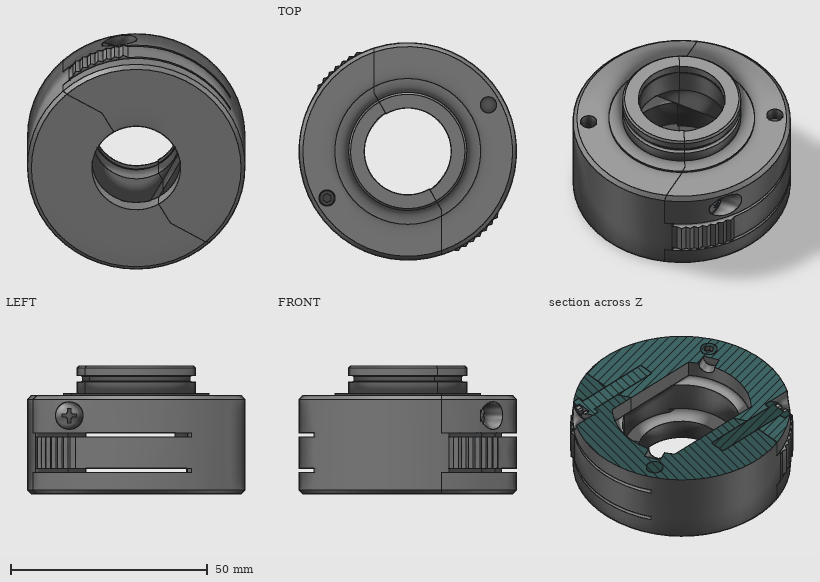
import cadquery as cq
import math

body_radius = 27.6
body_height = 25.0
body_chamfer = 1.0
shoulder_radius = 18.5
shoulder_top = body_height + 0.5
collar_radius = 15.0
collar_top = 32.5
collar_chamfer = 0.5

groove_radius = 13.7
groove_bottom = 28.4
groove_top = 30.0
groove_root = 0.25

lip_radius = 11.0
lip_bottom = 30.0
bore_radius = 11.25
lip_relief_offset = 0.64
lip_relief_angle = 53.0

tongue_bottom = 6.5
tongue_top = 14.5
slot_width = 1.0
slot_floor = tongue_bottom - slot_width
slot_ceiling = tongue_top + slot_width
root_angle = math.radians(210.4)
root_flat_y = -12.88

lower_chamber_radius = 15.0
upper_chamber_radius = 17.6
upper_chamber_half_width = 11.6
chamber_top = 23.25

wall_hole_diameter = 4.2
wall_hole_end_radius = 20.5
wall_hole_z = 19.6
wall_hole_angle = 205.6

parting_angle = math.radians(120)
parting_corner_radius = 17.2
parting_x = parting_corner_radius * math.cos(parting_angle)
parting_y = parting_corner_radius * math.sin(parting_angle)

nose_x = -10.45
nose_corner_y = 17.3
nose_inner_x = nose_x - nose_corner_y / math.tan(parting_angle)

tooth_count = 7
first_tooth_angle = 117.2
tooth_pitch_angle = 4.4
tooth_tip_radius = 28.25
tooth_foot_radius = body_radius - 0.2
tooth_flank_angle = math.radians(30)
tooth_half_width = (tooth_tip_radius - tooth_foot_radius) / math.tan(tooth_flank_angle)

screw_y = 17.0
screw_z = 19.9
head_diameter = 7.0
head_inner_x = -16.5
head_rim_x = -18.4
dome_tip_x = -19.5
shank_diameter = 4.0
shank_length = 20.0
cross_length = 3.7
cross_width = 0.8
cross_center_diameter = 1.8
cross_depth = 1.5

set_screw_diameter = 4.1
set_screw_length = 6.0
set_screw_chamfer = 0.2
set_screw_radius_from_axis = 23.65
set_screw_angle = math.radians(210)
set_screw_x = set_screw_radius_from_axis * math.cos(set_screw_angle)
set_screw_y = set_screw_radius_from_axis * math.sin(set_screw_angle)
socket_width = 2.0
socket_depth = 2.0

reach = 2 * body_radius


def half_turn(shape):
    return shape.rotate((0, 0, 0), (0, 0, 1), 180)


def cylinder(radius, bottom, top):
    return cq.Workplane("XY").workplane(offset=bottom).circle(radius).extrude(top - bottom)


def prism(points, bottom, top):
    return cq.Workplane("XY").workplane(offset=bottom).polyline(points).close().extrude(top - bottom)


def turned_body():
    """Full body of revolution with its bore and lip."""
    body = (
        cq.Workplane("XZ")
        .moveTo(bore_radius, 0)
        .lineTo(body_radius - body_chamfer, 0)
        .lineTo(body_radius, body_chamfer)
        .lineTo(body_radius, body_height - body_chamfer)
        .lineTo(body_radius - body_chamfer, body_height)
        .lineTo(shoulder_radius, body_height)
        .lineTo(shoulder_radius, shoulder_top)
        .lineTo(collar_radius, shoulder_top)
        .lineTo(collar_radius, groove_bottom)
        .lineTo(groove_radius + groove_root, groove_bottom)
        .lineTo(groove_radius, groove_bottom + groove_root)
        .lineTo(groove_radius, groove_top - groove_root)
        .lineTo(groove_radius + groove_root, groove_top)
        .lineTo(collar_radius, groove_top)
        .lineTo(collar_radius, collar_top - collar_chamfer)
        .lineTo(collar_radius - collar_chamfer, collar_top)
        .lineTo(lip_radius, collar_top)
        .lineTo(lip_radius, lip_bottom)
        .lineTo(bore_radius, lip_bottom)
        .close()
        .revolve(360, (0, 0), (0, 1))
    )
    return body.cut(chamber())


def chamber():
    """Round chamber behind the tongues, and a wider flat-sided one above it."""
    lower = cylinder(lower_chamber_radius, slot_floor, slot_ceiling)
    upper = cylinder(upper_chamber_radius, slot_ceiling, chamber_top)
    flat_sides = cq.Workplane("XY").workplane(offset=slot_ceiling).rect(reach, 2 * upper_chamber_half_width)
    upper = upper.intersect(flat_sides.extrude(chamber_top - slot_ceiling))
    return lower.union(upper)


def half_space():
    """Space of the -X half, including its nose and without the other half's nose."""
    outline = [
        (parting_x, reach),
        (parting_x, parting_y),
        (-parting_x, -parting_y),
        (-parting_x, -reach),
        (-reach, -reach),
        (-reach, reach),
    ]
    facing_nose = prism(
        [
            (parting_x, reach),
            (parting_x, parting_y),
            (0, 0),
            (nose_inner_x, 0),
            (nose_x, nose_corner_y),
            (nose_x, reach),
        ],
        slot_floor,
        slot_ceiling,
    )
    own_nose = half_turn(facing_nose)
    return prism(outline, 0, collar_top).cut(facing_nose).union(own_nose)


def tongue_slot(bottom):
    """Slot through the wall from the tongue root to the facing nose."""
    outline = [
        (0, 0),
        (0, root_flat_y),
        (root_flat_y / math.tan(root_angle), root_flat_y),
        (reach * math.cos(root_angle), reach * math.sin(root_angle)),
        (-reach, reach),
        (parting_x, reach),
        (parting_x, parting_y),
    ]
    return prism(outline, bottom, bottom + slot_width)


def grip_tooth(angle):
    """Pointed tooth whose foot runs into the tongue and its neighbours."""
    tooth = prism(
        [
            (tooth_foot_radius, -tooth_half_width),
            (tooth_tip_radius, 0),
            (tooth_foot_radius, tooth_half_width),
        ],
        tongue_bottom,
        tongue_top,
    )
    return tooth.rotate((0, 0, 0), (0, 0, 1), angle)


def lip_relief():
    """Off-centre cut that fades the lip out next to the parting line."""
    angle = math.radians(lip_relief_angle)
    relief = cylinder(lip_radius, lip_bottom, collar_top)
    return relief.translate((lip_relief_offset * math.cos(angle), lip_relief_offset * math.sin(angle), 0))


def rod_along_x(diameter, start_x, end_x):
    rod = cq.Workplane("YZ").workplane(offset=start_x).center(screw_y, screw_z)
    return rod.circle(diameter / 2).extrude(end_x - start_x)


def shank():
    return rod_along_x(shank_diameter, head_inner_x, head_inner_x + shank_length)


def set_screw_hole():
    hole = cylinder(set_screw_diameter / 2, slot_floor, body_height)
    return hole.translate((set_screw_x, set_screw_y, 0))


def wall_hole():
    hole = cq.Workplane("YZ").workplane(offset=lower_chamber_radius).center(0, wall_hole_z)
    hole = hole.circle(wall_hole_diameter / 2).extrude(wall_hole_end_radius - lower_chamber_radius)
    return hole.rotate((0, 0, 0), (0, 0, 1), wall_hole_angle)


def make_clamp_half():
    """The -X half of the clamp body, with its tongue, teeth and screw holes."""
    half = turned_body().intersect(half_space())
    for bottom in (slot_floor, tongue_top):
        half = half.cut(tongue_slot(bottom))
    for index in range(tooth_count):
        half = half.union(grip_tooth(first_tooth_angle + index * tooth_pitch_angle))
    counterbore = rod_along_x(head_diameter, -reach, head_inner_x)
    half = half.cut(lip_relief()).cut(counterbore).cut(set_screw_hole())
    half = half.cut(wall_hole())
    return half.cut(shank()).cut(half_turn(shank()))


def make_clamp_screw():
    """Domed cross-recess screw that enters from -X."""
    head_radius = head_diameter / 2
    profile = (
        cq.Workplane("XY")
        .moveTo(head_inner_x, 0)
        .lineTo(head_inner_x, head_radius)
        .lineTo(head_rim_x, head_radius)
    )
    dome_height = head_rim_x - dome_tip_x
    dome_radius = (head_radius**2 + dome_height**2) / (2 * dome_height)
    profile = profile.radiusArc((dome_tip_x, 0), -dome_radius).close()
    head = profile.revolve(360, (0, 0), (1, 0)).translate((0, screw_y, screw_z))
    recess = rod_along_x(cross_center_diameter, dome_tip_x, dome_tip_x + cross_depth)
    for arm in ((cross_length, cross_width), (cross_width, cross_length)):
        plane = cq.Workplane("YZ").workplane(offset=dome_tip_x).center(screw_y, screw_z)
        recess = recess.union(plane.rect(*arm).extrude(cross_depth))
    return head.union(shank()).cut(recess)


def make_set_screw():
    """Set screw in the -X half with its hexagon socket at the upper end."""
    screw = cylinder(set_screw_diameter / 2, tongue_top, tongue_top + set_screw_length)
    screw = screw.faces(">Z").chamfer(set_screw_chamfer)
    socket = screw.faces(">Z").workplane().polygon(6, socket_width, circumscribed=True)
    return socket.cutBlind(-socket_depth).translate((set_screw_x, set_screw_y, 0))


def make_stop_pin():
    """Plain pin in the +X half, clear of the tongue slot."""
    pin = cylinder(set_screw_diameter / 2, slot_ceiling, slot_ceiling + set_screw_length)
    return pin.translate((-set_screw_x, -set_screw_y, 0))


clamp_half = make_clamp_half()
clamp_screw = make_clamp_screw()
bodies = []
for part in (clamp_half, clamp_screw):
    bodies.extend(part.solids().vals())
    bodies.extend(half_turn(part).solids().vals())
bodies.extend(make_set_screw().solids().vals())
bodies.extend(make_stop_pin().solids().vals())

result = cq.Compound.makeCompound(bodies)